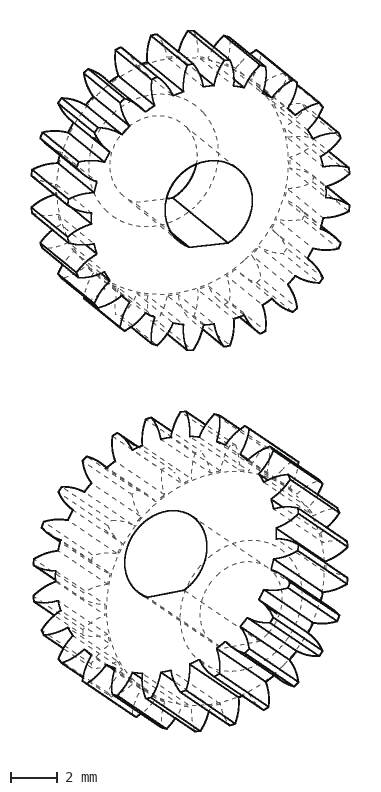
import cadquery as cq
import math


gear_height = 12.92
tooth_count = 24
pressure_angle = math.radians(20)
flank_thinning = math.radians(0.37)
involute_start_radius = 5.94
root_half_angle = math.radians(4.9)
dedendum_factor = 1.25
face_width = 4.5
hub_length = 2.34
hub_base_radius = 5.31
bore_radius = 2.0
bore_flat_offset = 1.8
flank_points = 5


def involute(angle):
    """Involute function, in radians."""
    return math.tan(angle) - angle


pitch_angle = 2 * math.pi / tooth_count
base_half_angle = pitch_angle / 4 + involute(pressure_angle) - flank_thinning
tip_pressure_angle = math.acos(tooth_count * math.cos(pressure_angle) / (tooth_count + 2))
tip_half_angle = base_half_angle - involute(tip_pressure_angle)

highest_corner_angle = pitch_angle / 2 - tip_half_angle
tip_radius = gear_height / 2 / math.cos(highest_corner_angle)
module = 2 * tip_radius / (tooth_count + 2)
pitch_radius = module * tooth_count / 2
base_radius = pitch_radius * math.cos(pressure_angle)
root_radius = pitch_radius - dedendum_factor * module

hub_end_radius = hub_base_radius - hub_length


def polar(radius, angle):
    """Point in the YZ plane, with the angle measured from +Y towards +Z."""
    return (radius * math.cos(angle), radius * math.sin(angle))


def flank(centre_angle, side):
    """Points from the root, then along the involute to the tip, on side -1 or +1 of a tooth."""
    points = [polar(root_radius, centre_angle + side * root_half_angle)]
    for i in range(flank_points):
        radius = involute_start_radius + (tip_radius - involute_start_radius) * i / (flank_points - 1)
        local_pressure_angle = math.acos(base_radius / radius)
        half_angle = base_half_angle - involute(local_pressure_angle)
        points.append(polar(radius, centre_angle + side * half_angle))
    return points


def make_gear():
    """Toothed disc; each flank is one smooth curve from the root circle to the tip."""
    first_centre = pitch_angle / 2
    outline = cq.Workplane("YZ").moveTo(*polar(root_radius, first_centre - root_half_angle))
    for tooth in range(tooth_count):
        centre = first_centre + tooth * pitch_angle
        rising = flank(centre, -1)
        falling = flank(centre, 1)[::-1]
        space_middle = polar(root_radius, centre + pitch_angle / 2)
        next_root = polar(root_radius, centre + pitch_angle - root_half_angle)
        outline = (
            outline.spline(rising[1:], includeCurrent=True)
            .threePointArc(polar(tip_radius, centre), falling[0])
            .spline(falling[1:], includeCurrent=True)
            .threePointArc(space_middle, next_root)
        )
    return outline.close().extrude(face_width)


def make_hub():
    """Solid cone that narrows towards -X."""
    profile = [(0, 0), (0, hub_base_radius), (-hub_length, hub_end_radius), (-hub_length, 0)]
    return cq.Workplane("XZ").polyline(profile).close().revolve(360, (0, 0, 0), (1, 0, 0))


def make_bore():
    """Round bore with its -Z side cut off by a flat."""
    flat_half_width = math.sqrt(bore_radius**2 - bore_flat_offset**2)
    return (
        cq.Workplane("YZ", origin=(-hub_length, 0, 0))
        .moveTo(-flat_half_width, -bore_flat_offset)
        .lineTo(flat_half_width, -bore_flat_offset)
        .threePointArc((0, bore_radius), (-flat_half_width, -bore_flat_offset))
        .close()
        .extrude(hub_length + face_width)
    )


result = make_gear().union(make_hub()).cut(make_bore())